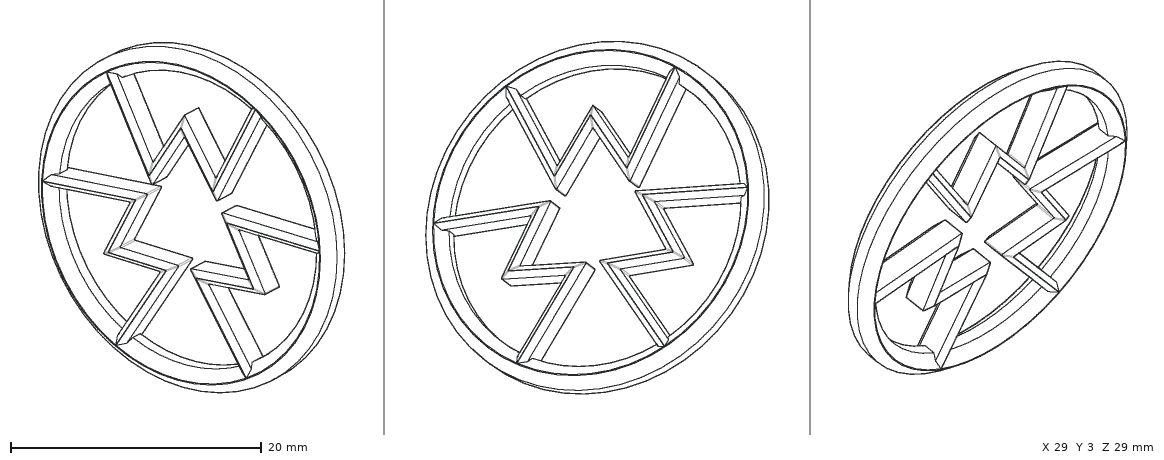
import cadquery as cq
import math

outer_radius = 14.5
ring_width = 2.0
depth = 3.0
ring_crest_flat = 0.1
ring_bevel = (ring_width - ring_crest_flat) / 2
inner_radius = outer_radius - ring_width
crest_radius = outer_radius - ring_width / 2

bar_width = 1.02
bar_crest_flat = 0.03
bar_bevel = (bar_width - bar_crest_flat) / 2
corner_radius = 0.1


def rim_point(angle):
    """Point (x, z) on the outer radius, with the angle in degrees from +X towards +Z."""
    return (
        outer_radius * math.cos(math.radians(angle)),
        outer_radius * math.sin(math.radians(angle)),
    )


top_right_angle = 57.9
right_angle = 2.2
lower_right_angle = -61.6

top_valley_x = 3.1
top_valley_z = 3.35
top_apex_z = 8.18
top_path = [
    rim_point(180 - top_right_angle),
    (-top_valley_x, top_valley_z),
    (0, top_apex_z),
    (top_valley_x, top_valley_z),
    rim_point(top_right_angle),
]
side_path = [
    rim_point(right_angle),
    (4.4, 1.02),
    (7.08, -4.1),
    (1.42, -4.38),
    rim_point(lower_right_angle),
]


def offset_path(path, distance):
    """Shift a centre line to its left by the distance, with mitred corners."""
    headings = [math.atan2(z1 - z0, x1 - x0) for (x0, z0), (x1, z1) in zip(path, path[1:])]
    before = [headings[0]] + headings
    after = headings + [headings[-1]]
    shifted = []
    for (x, z), heading_in, heading_out in zip(path, before, after):
        scale = distance / (1 + math.cos(heading_out - heading_in))
        shifted.append((
            x - scale * (math.sin(heading_in) + math.sin(heading_out)),
            z + scale * (math.cos(heading_in) + math.cos(heading_out)),
        ))
    return shifted


def front_plane():
    """XZ workplane on the front face, whose normal points out of the part along -Y."""
    return cq.Workplane("XZ", origin=(0, -depth / 2, 0))


def make_ring():
    hoop = front_plane().circle(outer_radius).circle(inner_radius).extrude(-depth)
    return hoop.faces("<Y or >Y").chamfer(ring_bevel)


def make_zigzag(path):
    left_edge = offset_path(path, bar_width / 2)
    right_edge = offset_path(path, -bar_width / 2)
    outline = left_edge + right_edge[::-1]
    strip = front_plane().polyline(outline).close().extrude(-depth)
    bevelled = strip.faces("<Y or >Y").chamfer(bar_bevel)
    corner_edges = bevelled.edges("not #Y").edges(corner_zone)
    rounded = corner_edges.fillet(corner_radius)
    return rounded.intersect(crest_cylinder)


corner_reach = 0.6 * outer_radius
corner_zone = cq.selectors.BoxSelector(
    (-corner_reach, -depth, -corner_reach),
    (corner_reach, depth, corner_reach),
)

crest_cylinder = front_plane().circle(crest_radius).extrude(-depth)
right_zigzag = make_zigzag(side_path)

result = (
    make_ring()
    .union(make_zigzag(top_path))
    .union(right_zigzag)
    .union(right_zigzag.mirror("YZ"))
)